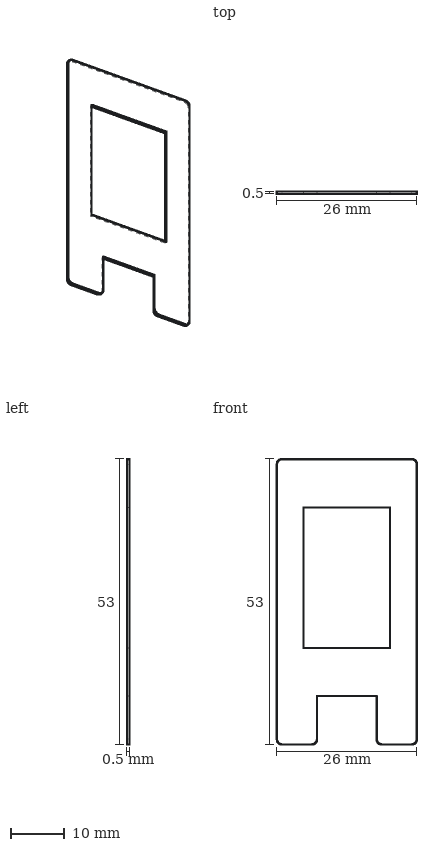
import cadquery as cq

width = 26.0
height = 53
thickness = 0.5
corner_radius = 1.0

window_width = 16.0
window_height = 26.0
window_top_margin = 9

notch_width = 11.0
notch_depth = 9


def block(size_x, size_z, center_z):
    """Block of plate thickness, centred on X and Y."""
    return cq.Workplane("XY").box(size_x, thickness, size_z).translate((0, 0, center_z))


window_center_z = height / 2 - window_top_margin - window_height / 2
notch_center_z = -height / 2 + notch_depth / 2

plate = block(width, height, 0).edges("|Y").fillet(corner_radius)
plate = plate.cut(block(notch_width, notch_depth, notch_center_z))

notch_mouth = cq.selectors.BoxSelector(
    (-notch_width / 2 - corner_radius / 2, -thickness, -height / 2 - corner_radius / 2),
    (notch_width / 2 + corner_radius / 2, thickness, -height / 2 + corner_radius / 2),
)
plate = plate.edges("|Y").edges(notch_mouth).fillet(corner_radius)

result = plate.cut(block(window_width, window_height, window_center_z))